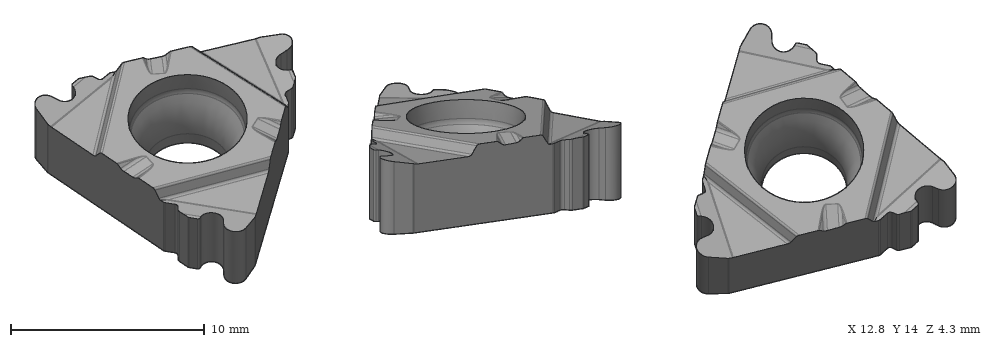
import cadquery as cq
import math

thickness = 4.3
inscribed_radius = 9.525 / 2
tooth_count = 3
side_facing = math.radians(60)
overshoot = 1.0

pitch = 2.54
flank_angle = math.radians(15)
round_radius = 0.24 * pitch
crest_x = -3.905
crest_y = 6.905

land_y = 6.32
land_corner_radius = 0.12
land_side_x = -0.8
land_side_radius = 0.2
shoulder_y = 5.47
side_blend_radius = 0.2

floor_z = thickness - 0.6
wall_distance = 4.0
wall_heading = 122
wall_angle = math.radians(60)
wall_top_radius = 0.15
wall_foot_radius = 0.2
rake_start_y = 5.207
rake_angle = math.radians(10)
rake_blend_radius = 0.3
land_step_y = 6.13

groove_inner_x = -3.457
groove_inner_y = -0.49
groove_heading = math.radians(167)
groove_slope = math.radians(10)
groove_floor_width = 0.85
groove_wall_angle = math.radians(38)
groove_foot_radius = 0.35
groove_rim_radius = 0.1
groove_length = 2.5
groove_height = 0.6

bore_radius = 4.4 / 2
mouth_radius = 3.08
mouth_foot_radius = 3.01
mouth_depth = 1.0
seat_radius = 2.93
seat_depth = 1.29
bore_depth = 3.58


def rounded_path(corners):
    """Closed outline through (x, y, radius) corners, with tangent arcs where radius > 0."""
    path = None
    for i, (x, y, radius) in enumerate(corners):
        before = cq.Vector(*corners[i - 1][:2])
        after = cq.Vector(*corners[(i + 1) % len(corners)][:2])
        corner = cq.Vector(x, y)
        to_before = (before - corner).normalized()
        to_after = (after - corner).normalized()
        half_angle = to_before.getAngle(to_after) / 2
        setback = radius / math.tan(half_angle)
        start = corner + to_before * setback
        if path is None:
            path = cq.Workplane().moveTo(start.x, start.y)
        else:
            path = path.lineTo(start.x, start.y)
        if radius > 0:
            bisector = (to_before + to_after).normalized()
            middle = corner + bisector * (radius / math.sin(half_angle) - radius)
            end = corner + to_after * setback
            path = path.threePointArc((middle.x, middle.y), (end.x, end.y))
    return path.close()


def rounded_prism(corners, length, plane=cq.Plane.XY()):
    """Extrude a rounded outline along the normal of the plane it is drawn on."""
    prism = rounded_path(corners).extrude(length)
    return cq.Workplane(prism.val().moved(cq.Location(plane)))


def turned(x, y, degrees):
    """Point (x, y) turned about the insert axis."""
    angle = math.radians(degrees)
    return (x * math.cos(angle) - y * math.sin(angle), x * math.sin(angle) + y * math.cos(angle))


def side_plane_x(y):
    """X of the neighbouring side of the triangle at a given Y."""
    return (inscribed_radius - y * math.sin(side_facing)) / math.cos(side_facing)


def side_plane_y(x):
    """Y of the neighbouring side of the triangle at a given X."""
    return (inscribed_radius - x * math.cos(side_facing)) / math.sin(side_facing)


def tooth_corners():
    """Sharp corners of one tooth with their radii, from its finishing side round to its plain side."""
    apex_rise = round_radius / math.sin(flank_angle) - round_radius
    apex_y = crest_y + apex_rise
    root_x = crest_x + pitch / 2
    root_y = apex_y - pitch / 2 / math.tan(flank_angle)

    plain_side_x = -inscribed_radius
    plain_side_y = apex_y - (crest_x - plain_side_x) / math.tan(flank_angle)
    land_start_x = root_x + (land_y - root_y) * math.tan(flank_angle)
    land_end_x = side_plane_x(land_y)
    land_side_y = side_plane_y(land_side_x)
    shoulder_start_x = land_side_x + (land_side_y - shoulder_y) * math.tan(flank_angle)
    shoulder_end_x = side_plane_x(shoulder_y)
    return [
        (shoulder_end_x, shoulder_y, side_blend_radius),
        (shoulder_start_x, shoulder_y, land_side_radius),
        (land_side_x, land_side_y, land_side_radius),
        (land_end_x, land_y, land_corner_radius),
        (land_start_x, land_y, land_corner_radius),
        (root_x, root_y, round_radius),
        (crest_x, apex_y, round_radius),
        (plain_side_x, plain_side_y, side_blend_radius),
    ]


def make_blank():
    corners = []
    for i in range(tooth_count):
        for x, y, radius in tooth_corners():
            corners.append((*turned(x, y, i * 360 / tooth_count), radius))
    return rounded_prism(corners, thickness)


def make_chip_former():
    """Space above the lowered floor, the raked tooth top and the level finishing-tooth top."""
    reach = 2 * crest_y
    top = thickness + overshoot
    wall_foot = wall_distance + (thickness - floor_z) / math.tan(wall_angle)
    section = [
        (wall_distance - 2 * wall_top_radius, thickness, 0),
        (wall_distance, thickness, wall_top_radius),
        (wall_foot, floor_z, wall_foot_radius),
        (reach, floor_z, 0),
        (reach, top, 0),
        (wall_distance - 2 * wall_top_radius, top, 0),
    ]
    across_wall = cq.Plane(origin=(0, reach, 0), xDir=(1, 0, 0), normal=(0, -1, 0))
    space = rounded_prism(section, 2 * reach, across_wall)
    space = space.rotate((0, 0, 0), (0, 0, 1), wall_heading)

    rake_end_y = crest_y + overshoot
    rake_end_z = floor_z + (rake_end_y - rake_start_y) * math.tan(rake_angle)
    base_z = floor_z - overshoot
    rake_section = [
        (rake_start_y - overshoot, floor_z, 0),
        (rake_start_y, floor_z, rake_blend_radius),
        (rake_end_y, rake_end_z, 0),
        (rake_end_y, base_z, 0),
        (rake_start_y - overshoot, base_z, 0),
    ]
    across_rake = cq.Plane(origin=(-reach, 0, 0), xDir=(0, 1, 0), normal=(1, 0, 0))
    rake = rounded_prism(rake_section, 2 * reach, across_rake)
    land_z = floor_z + (land_step_y - rake_start_y) * math.tan(rake_angle)
    land_space = cq.Workplane().box(pitch, pitch, top - land_z, centered=False)
    land_space = land_space.translate((crest_x + pitch / 2, land_step_y, land_z))
    return space.cut(rake).union(land_space)


def make_groove():
    """Groove that starts at the top face and sinks toward the side face."""
    half_floor = groove_floor_width / 2
    half_top = half_floor + groove_height / math.tan(groove_wall_angle)
    section = [
        (-half_floor, 0, groove_foot_radius),
        (half_floor, 0, groove_foot_radius),
        (half_top, groove_height, 0),
        (-half_top, groove_height, 0),
    ]
    run = cq.Vector(
        math.cos(groove_heading) * math.cos(groove_slope),
        math.sin(groove_heading) * math.cos(groove_slope),
        -math.sin(groove_slope),
    )
    across = cq.Vector(0, 0, 1).cross(run)
    inner_end = cq.Vector(groove_inner_x, groove_inner_y, thickness)
    plane = cq.Plane(origin=inner_end, xDir=across, normal=run)
    return rounded_prism(section, groove_length, plane)


def round_groove_rim(body):
    """Round the two long upper edges of the groove on the -X side."""
    edge_margin = 0.1
    middle_x = (groove_inner_x - inscribed_radius) / 2
    rim_box = cq.selectors.BoxSelector(
        (-inscribed_radius + edge_margin, groove_inner_y - 2 * groove_floor_width, thickness - edge_margin),
        (middle_x, groove_inner_y + 2 * groove_floor_width, thickness + edge_margin),
    )
    return body.edges(rim_box).fillet(groove_rim_radius)


def make_screw_hole():
    """Tapered mouth, blended into a curved seat that runs tangentially into the bore."""
    seat_width = seat_radius - bore_radius
    seat_height = bore_depth - seat_depth
    curve_radius = (seat_width ** 2 + seat_height ** 2) / (2 * seat_width)
    half_sweep = math.asin(seat_height / curve_radius) / 2
    seat_middle = (
        bore_radius + curve_radius * (1 - math.cos(half_sweep)),
        thickness - bore_depth + curve_radius * math.sin(half_sweep),
    )
    return (
        cq.Workplane("XZ")
        .moveTo(0, thickness)
        .lineTo(mouth_radius, thickness)
        .lineTo(mouth_foot_radius, thickness - mouth_depth)
        .tangentArcPoint((seat_radius, thickness - seat_depth), relative=False)
        .threePointArc(seat_middle, (bore_radius, thickness - bore_depth))
        .lineTo(bore_radius, 0)
        .lineTo(0, 0)
        .close()
        .revolve(360, (0, 0, 0), (0, 1, 0))
    )


chip_former = make_chip_former()
groove = make_groove()
result = make_blank().cut(make_screw_hole())
for _ in range(tooth_count):
    result = round_groove_rim(result.cut(chip_former).cut(groove))
    result = result.rotate((0, 0, 0), (0, 0, 1), 360 / tooth_count)